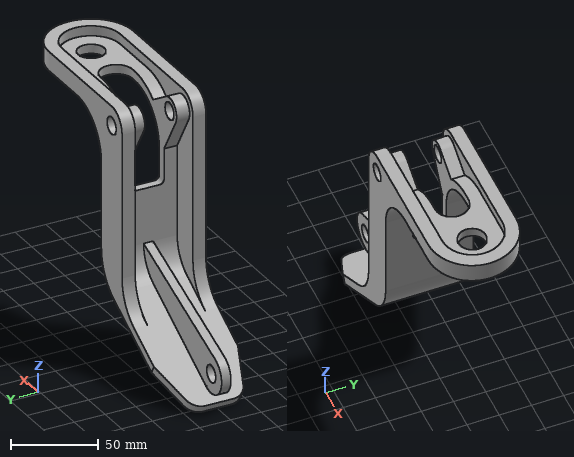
import cadquery as cq
import math


length = 190.4
width = 54.6
wall = 6.0
rail_width = 8.5
boss_radius = 12.5
pin_diameter = 10.9
bend_radius = 29.9
rail_foot_radius = 29.5
slope = math.radians(30)
corner_z = -102.8

tail_length = 102.8
ear_station = 90.5
ear_thickness = 6.0
taper_length = 33.0
taper_inset = 10.9
tail_corner_radius = 10.0

arm_hole_diameter = 17.0
slot_width = 20.5
slot_end_x = 55.4
slot_bottom_z = -50.0
slot_corner_radius = 3.0

lug_radius = 8.5
lug_flank = math.radians(31)
lug_flank_length = 28.5

back_x = boss_radius
front_x = -boss_radius
top_z = boss_radius
floor_x = back_x - wall
inner_width = width - 2 * rail_width
inner_bend_radius = bend_radius - wall
upper_floor_radius = bend_radius + wall
upper_bend_x = back_x + bend_radius
upper_bend_z = -bend_radius
lower_bend_x = back_x - bend_radius
lower_bend_z = corner_z + bend_radius * math.tan((math.pi / 2 - slope) / 2)
taper_station = tail_length - taper_length


def polar(center_x, center_z, radius, angle):
    return (center_x + radius * math.cos(angle), center_z + radius * math.sin(angle))


def on_tail(station, height):
    """Point at a distance along the tail's underside and a height square to it."""
    return (
        back_x - station * math.cos(slope) - height * math.sin(slope),
        corner_z - station * math.sin(slope) + height * math.cos(slope),
    )


def slab(profile, thickness):
    """Extrude an XZ profile to a thickness centred on Y = 0."""
    return profile.extrude(thickness / 2, both=True)


def pin_hole(x, z):
    return slab(cq.Workplane("XZ").center(x, z).circle(pin_diameter / 2), 2 * width)


tail_normal = slope - math.pi / 2
bend_middle = tail_normal / 2
upper_corner_angle = math.radians(135)

ear_x, ear_z = on_tail(ear_station, wall + boss_radius)
arm_end_x = ear_x - boss_radius + length
arm_round_x = arm_end_x - width / 2


def side_body():
    """Full-width side outline, from the arm end to where the tail starts to taper."""
    foot_x = front_x - rail_foot_radius
    tail_floor_z = corner_z + wall / math.cos(slope) + (foot_x - back_x) * math.tan(slope)
    foot_z = tail_floor_z + rail_foot_radius / math.cos(slope)
    profile = (
        cq.Workplane("XZ")
        .moveTo(0, top_z)
        .lineTo(arm_end_x, top_z)
        .lineTo(arm_end_x, 0)
        .lineTo(upper_bend_x, 0)
        .threePointArc(
            polar(upper_bend_x, upper_bend_z, bend_radius, upper_corner_angle),
            (back_x, upper_bend_z),
        )
        .lineTo(back_x, lower_bend_z)
        .threePointArc(
            polar(lower_bend_x, lower_bend_z, bend_radius, bend_middle),
            polar(lower_bend_x, lower_bend_z, bend_radius, tail_normal),
        )
        .lineTo(*on_tail(taper_station, 0))
        .lineTo(*on_tail(taper_station, wall))
        .lineTo(*polar(foot_x, foot_z, rail_foot_radius, tail_normal))
        .threePointArc(
            polar(foot_x, foot_z, rail_foot_radius, bend_middle),
            (front_x, foot_z),
        )
        .lineTo(front_x, 0)
        .threePointArc(polar(0, 0, boss_radius, upper_corner_angle), (0, top_z))
        .close()
    )
    return slab(profile, width)


def arm_plan(plan_width):
    """Tall block with a half-round end, centred on the arm hole."""
    reach = 2 * length
    return (
        cq.Workplane("XY")
        .moveTo(arm_round_x - reach, -plan_width / 2)
        .lineTo(arm_round_x, -plan_width / 2)
        .threePointArc((arm_round_x + plan_width / 2, 0), (arm_round_x, plan_width / 2))
        .lineTo(arm_round_x - reach, plan_width / 2)
        .close()
        .extrude(length, both=True)
    )


def channel():
    """Hollow between the rails, down to the floor."""
    clear_z = top_z + wall
    profile = (
        cq.Workplane("XZ")
        .moveTo(arm_end_x, clear_z)
        .lineTo(arm_end_x, wall)
        .lineTo(upper_bend_x, wall)
        .threePointArc(
            polar(upper_bend_x, upper_bend_z, upper_floor_radius, upper_corner_angle),
            (floor_x, upper_bend_z),
        )
        .lineTo(floor_x, lower_bend_z)
        .threePointArc(
            polar(lower_bend_x, lower_bend_z, inner_bend_radius, bend_middle),
            polar(lower_bend_x, lower_bend_z, inner_bend_radius, tail_normal),
        )
        .lineTo(*on_tail(tail_length, wall))
        .lineTo(on_tail(tail_length, wall)[0], clear_z)
        .close()
    )
    return slab(profile, inner_width).intersect(arm_plan(inner_width))


def lugs():
    """Pin lugs inside the rails: a round nose with two flanks running back into the bend."""
    upper_x, upper_z = polar(0, 0, lug_radius, math.pi / 2 - lug_flank)
    lower_x, lower_z = polar(0, 0, lug_radius, math.pi + lug_flank)
    along = lug_flank_length * math.cos(lug_flank)
    across = lug_flank_length * math.sin(lug_flank)
    nose = (
        cq.Workplane("XZ")
        .moveTo(upper_x, upper_z)
        .threePointArc(polar(0, 0, lug_radius, upper_corner_angle), (lower_x, lower_z))
        .lineTo(lower_x + across, lower_z - along)
        .lineTo(upper_bend_x, upper_bend_z)
        .lineTo(upper_x + along, upper_z - across)
        .close()
    )
    below_bend = cq.Workplane("XZ").center(upper_bend_x, upper_bend_z).circle(bend_radius)
    return slab(nose, inner_width).cut(slab(below_bend, width))


def slot():
    """Opening through arm and upright, round at the arm end."""
    half = slot_width / 2
    arm_opening = (
        cq.Workplane("XY", origin=(0, 0, slot_bottom_z))
        .moveTo(front_x, -half)
        .lineTo(slot_end_x - half, -half)
        .threePointArc((slot_end_x, 0), (slot_end_x - half, half))
        .lineTo(front_x, half)
        .close()
        .extrude(top_z - slot_bottom_z)
    )
    return arm_opening.edges("|X and <Z").fillet(slot_corner_radius)


def tail():
    """Tapered end of the tail plate."""
    end_x, end_z = on_tail(tail_length, 0)
    plane = cq.Plane(
        origin=(end_x, 0, end_z),
        xDir=(math.cos(slope), 0, math.sin(slope)),
        normal=(-math.sin(slope), 0, math.cos(slope)),
    )
    half = width / 2
    end_half = half - taper_inset
    plate = (
        cq.Workplane(plane)
        .polyline([(0, -end_half), (taper_length, -half), (taper_length, half), (0, end_half)])
        .close()
        .extrude(wall)
    )
    end_corners = plate.faces(cq.selectors.DirectionMinMaxSelector(plane.xDir, False))
    return end_corners.edges(cq.selectors.ParallelDirSelector(plane.zDir)).fillet(tail_corner_radius)


def ear():
    """Central rib on the tail, rounded about the lower pin."""
    rise = lower_bend_z - ear_z
    run = floor_x - ear_x
    edge_angle = math.atan2(rise, run) - math.asin(boss_radius / math.hypot(run, rise))
    profile = (
        cq.Workplane("XZ")
        .moveTo(*polar(ear_x, ear_z, boss_radius, edge_angle + math.pi / 2))
        .threePointArc(
            (ear_x - boss_radius, ear_z),
            polar(ear_x, ear_z, boss_radius, tail_normal),
        )
        .lineTo(*polar(lower_bend_x, lower_bend_z, inner_bend_radius, tail_normal))
        .threePointArc(
            polar(lower_bend_x, lower_bend_z, inner_bend_radius, bend_middle),
            (floor_x, lower_bend_z),
        )
        .close()
    )
    return slab(profile, ear_thickness)


arm_hole = cq.Workplane("XY").center(arm_round_x, 0).circle(arm_hole_diameter / 2).extrude(top_z)

result = (
    side_body()
    .intersect(arm_plan(width))
    .cut(channel())
    .union(lugs())
    .cut(slot())
    .union(tail())
    .union(ear())
    .cut(arm_hole)
    .cut(pin_hole(0, 0))
    .cut(pin_hole(ear_x, ear_z))
)